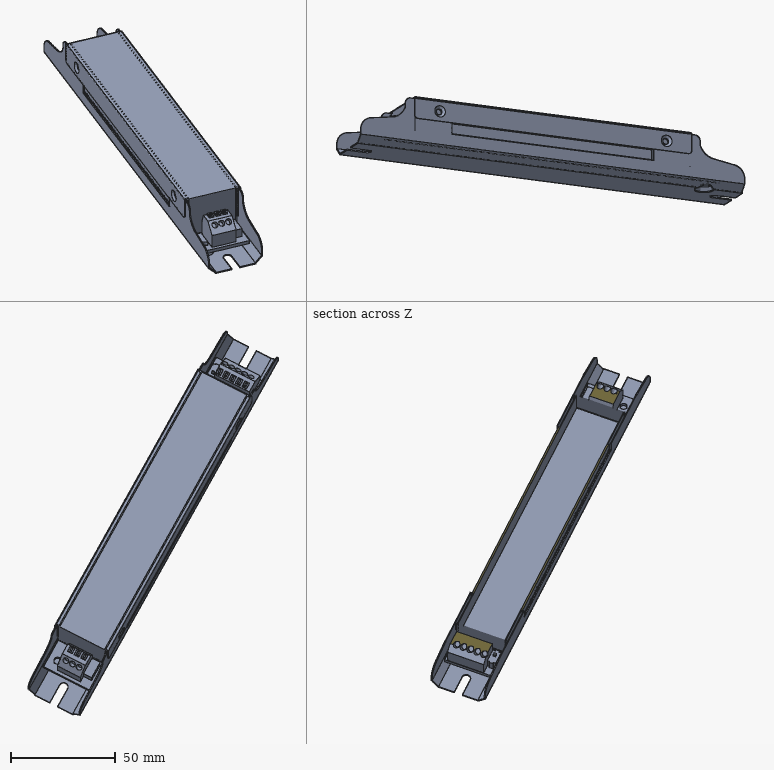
import cadquery as cq
import math

channel_half_length = 100.8
channel_half_width = 14.1
sheet = 0.6
bend_angle = math.radians(45)
bend_height = 3.65
wall_top = 25.0
floor_half_width = channel_half_width - bend_height
floor_lip = 0.4

nose_start_z = 6.3
nose_end = (94.6, 12.7)
scoop_start = (84.5, 14.3)
scoop_end = (77.4, 20.3)
shoulder_start_z = 22.2
shoulder_end_x = 74.0

slot_width = 4.2
slot_inner_x = 89.0
window_half_length = 53.0
window_bottom = 9.6

cover_half_length = 72.8
cover_half_width = 14.6
cover_sheet = cover_half_width - channel_half_width
cover_top = 26.0
cover_bottom = 15.1
cover_edge_radius = 1.0
cover_corner_radius = 1.8
end_flange_half_width = 12.7
corner_web_bottom = 9.0

dimple_x = 59.5
dimple_z = 20.0
dimple_diameter = 5.6
dimple_hole_diameter = 2.9
dimple_cone_depth = 1.0

plate_half_length = 87.8
plate_half_width = 12.8
plate_bottom = 2.9
plate_top = 4.6
liner_half_width = end_flange_half_width
liner_thickness = 0.6

panel_thickness = 0.5
panel_bottom = 10.1
panel_end_gap = 0.5
panel_x_range = (-window_half_length, window_half_length - panel_end_gap)

earth_x = 82.0
earth_y = -8.2
earth_base_radius = 5.0
earth_top_radius = 3.2
earth_hole_diameter = 3.4

pole_pitch = 3.55
terminal_front_z = 11.4
terminal_top = 16.5
terminal_slope_run = terminal_top - terminal_front_z
wire_hole_diameter = 2.9
wire_hole_depth = 3.0
wire_hole_position = 0.65
button_length = 3.0
button_width = 2.4
button_rise = 0.8
button_gap = 2.2
button_slit_length = 1.6
button_slit_width = 0.8

left_front_x = 87.6
left_back_x = 76.6
left_y_range = (-7.6, 11.2)
left_first_pole_y = -6.1
left_poles = 5

right_front_x = 86.2
right_back_x = 73.7
right_y_range = (-6.0, 6.5)
right_first_pole_y = -3.1
right_poles = 3
right_back_bevel_run = 1.9
right_back_bevel_drop = 4.5

left_plug_x_range = (-83.1, -76.3)
left_plug_y_range = (-11.9, -7.6)
left_plug_top = 9.0
plug_ear_length = 0.6
plug_ear_width = 2.0
plug_pin_width = 1.2
plug_pin_x = -79.0
plug_pin_top = 10.2
right_plug_x_range = (74.3, 83.1)
right_plug_y_range = (6.5, 10.9)
right_plug_top = 9.0


def box(x_range, y_range, z_range):
    """Axis-aligned block between the given limits."""
    return cq.Workplane("XY").box(
        x_range[1] - x_range[0], y_range[1] - y_range[0], z_range[1] - z_range[0], centered=False
    ).translate((x_range[0], y_range[0], z_range[0]))


def span(half):
    """Limits of a range that is symmetric about zero."""
    return (-half, half)


def channel_section():
    """Channel cross-section in the YZ plane, swept along X."""
    w, f, b = channel_half_width, floor_half_width, bend_height
    bend_inset = sheet * math.tan(bend_angle / 2)
    inner_f = f - bend_inset
    inner_b = b + bend_inset
    half = [
        (f, 0), (w, b), (w, wall_top), (w - sheet, wall_top), (w - sheet, inner_b), (inner_f, sheet),
    ]
    outline = half + [(-y, z) for y, z in reversed(half)]
    return (
        cq.Workplane("YZ").polyline(outline).close()
        .extrude(2 * channel_half_length).translate((-channel_half_length, 0, 0))
    )


def end_outline(side):
    """Area kept at one end of the side walls; side is +1 or -1 along X."""
    def at(point):
        return (side * point[0], point[1])

    return (
        cq.Workplane("XZ").moveTo(0, 0)
        .lineTo(*at((channel_half_length, 0)))
        .lineTo(*at((channel_half_length, nose_start_z)))
        .tangentArcPoint(at(nose_end), relative=False)
        .lineTo(*at(scoop_start))
        .tangentArcPoint(at(scoop_end), relative=False)
        .lineTo(*at((scoop_end[0], shoulder_start_z)))
        .tangentArcPoint(at((shoulder_end_x, wall_top)), relative=False)
        .lineTo(0, wall_top).close()
        .extrude(channel_half_width, both=True)
    )


def make_channel():
    channel = channel_section().intersect(end_outline(1).union(end_outline(-1)))
    lip_x = channel_half_length + floor_lip
    channel = channel.union(box((slot_inner_x, lip_x), span(floor_half_width), (0, sheet)))
    slot_length = channel_half_length - slot_inner_x
    for side in (1, -1):
        slot = (
            cq.Workplane("XY").center(side * (slot_inner_x + slot_length), 0)
            .slot2D(2 * slot_length, slot_width).extrude(sheet)
        )
        channel = channel.cut(slot)
    window = box(span(window_half_length), span(channel_half_width), (window_bottom, cover_bottom))
    return channel.cut(window)


def make_cover():
    cover = (
        box(span(cover_half_length), span(cover_half_width), (cover_bottom, cover_top))
        .faces(">Z").edges().fillet(cover_edge_radius)
        .edges("|Y and <Z").fillet(cover_corner_radius)
    )
    inner_x = cover_half_length - cover_sheet
    inner_z = cover_top - cover_sheet
    cover = cover.cut(box(span(inner_x), span(channel_half_width), (cover_bottom, inner_z)))
    end_opening = box(
        span(cover_half_length), span(channel_half_width), (cover_bottom, cover_top - cover_edge_radius)
    )
    cover = cover.cut(end_opening)
    for x_range in ((-cover_half_length, -inner_x), (inner_x, cover_half_length)):
        flange_z = (plate_top, cover_top - cover_edge_radius)
        cover = cover.union(box(x_range, span(end_flange_half_width), flange_z))
    wall_inner = channel_half_width - sheet
    for x_range in ((-inner_x, cover_sheet - inner_x), (inner_x - cover_sheet, inner_x)):
        for y_range in ((-wall_inner, -end_flange_half_width), (end_flange_half_width, wall_inner)):
            cover = cover.union(box(x_range, y_range, (corner_web_bottom, inner_z)))
    return cover


def make_tray():
    """Base plate and the two liner walls standing on it under the cover."""
    tray = box(span(plate_half_length), span(plate_half_width), (plate_bottom, plate_top))
    liner_inner = liner_half_width - liner_thickness
    for y_range in ((liner_inner, liner_half_width), (-liner_half_width, -liner_inner)):
        tray = tray.union(
            box(span(cover_half_length - cover_sheet), y_range, (plate_top, cover_top - cover_sheet))
        )
    panel_outer = liner_half_width + panel_thickness
    for y_range in ((liner_half_width, panel_outer), (-panel_outer, -liner_half_width)):
        tray = tray.union(box(panel_x_range, y_range, (panel_bottom, cover_bottom)))
    return tray


def side_cylinder(x, side, y_from, y_to, diameter):
    """Cylinder along Y at dimple height on one long side."""
    cylinder = cq.Solid.makeCylinder(
        diameter / 2, y_to - y_from, cq.Vector(x, side * y_from, dimple_z), cq.Vector(0, side, 0)
    )
    return cq.Workplane(obj=cylinder)


def add_side_dimples(body):
    for x in (-dimple_x, dimple_x):
        for side in (1, -1):
            body = body.union(side_cylinder(x, side, liner_half_width, channel_half_width, dimple_diameter))
            body = body.cut(
                side_cylinder(x, side, liner_half_width, cover_half_width, dimple_hole_diameter)
            )
            cone = cq.Solid.makeCone(
                dimple_diameter / 2, dimple_hole_diameter / 2, dimple_cone_depth,
                cq.Vector(x, side * cover_half_width, dimple_z), cq.Vector(0, -side, 0),
            )
            body = body.cut(cq.Workplane(obj=cone))
    return body


def earth_cone(z_from):
    """Cone of the earth dimple with its base at the given height."""
    cone = cq.Solid.makeCone(
        earth_base_radius, earth_top_radius, plate_bottom, cq.Vector(earth_x, earth_y, z_from)
    )
    return cq.Workplane(obj=cone)


def add_earth_dimple(body):
    """Hollow dimple rising to the plate below a round hole in the plate."""
    trough = (
        cq.Workplane("YZ")
        .polyline([
            (-floor_half_width, 0), (floor_half_width, 0),
            (channel_half_width, bend_height), (-channel_half_width, bend_height),
        ]).close()
        .extrude(channel_half_length)
    )
    body = body.union(earth_cone(0).intersect(trough))
    body = body.cut(earth_cone(-sheet))
    plate_hole = (
        cq.Workplane("XY", origin=(earth_x, earth_y, plate_bottom))
        .circle(earth_hole_diameter / 2).extrude(plate_top - plate_bottom)
    )
    return body.cut(plate_hole)


def terminal_block(side, front_x, back_x, y_range, first_pole_y, poles, bevel_run=0, bevel_drop=0):
    """Terminal block with its wire holes facing the end of the channel on the given side."""
    slope_top_x = front_x - terminal_slope_run
    profile = [
        (front_x, plate_top), (front_x, terminal_front_z), (slope_top_x, terminal_top),
        (back_x + bevel_run, terminal_top),
    ]
    if bevel_run:
        profile.append((back_x, terminal_top - bevel_drop))
    profile.append((back_x, plate_top))
    block = (
        cq.Workplane("XZ").polyline([(side * x, z) for x, z in profile]).close()
        .extrude(y_range[0] - y_range[1]).translate((0, y_range[0], 0))
    )
    hole_x = front_x - terminal_slope_run * wire_hole_position
    hole_z = terminal_front_z + terminal_slope_run * wire_hole_position
    for pole in range(poles):
        y = first_pole_y + pole * pole_pitch
        hole = cq.Solid.makeCylinder(
            wire_hole_diameter / 2, wire_hole_depth,
            cq.Vector(side * hole_x, y, hole_z), cq.Vector(-side, 0, -1),
        )
        block = block.cut(cq.Workplane(obj=hole))
        button_x = side * (slope_top_x - button_gap - button_length / 2)
        button_top = terminal_top + button_rise
        button = (
            cq.Workplane("XY").box(button_length, button_width, button_rise)
            .translate((button_x, y, terminal_top + button_rise / 2))
        )
        slit = (
            cq.Workplane("XY").box(button_slit_length, button_slit_width, button_rise)
            .translate((button_x, y, button_top))
        )
        block = block.union(button.cut(slit))
    return block


def left_plug():
    """Two-eared connector with a central pin."""
    y_mid = sum(left_plug_y_range) / 2
    z_range = (plate_top, left_plug_top)
    ear_x = (left_plug_x_range[0] - plug_ear_length, left_plug_x_range[1] + plug_ear_length)
    ear_y = (y_mid - plug_ear_width / 2, y_mid + plug_ear_width / 2)
    pin_x = (plug_pin_x - plug_pin_width / 2, plug_pin_x + plug_pin_width / 2)
    pin_y = (y_mid - plug_pin_width / 2, y_mid + plug_pin_width / 2)
    plug = box(left_plug_x_range, left_plug_y_range, z_range).union(box(ear_x, ear_y, z_range))
    return plug.union(box(pin_x, pin_y, (left_plug_top, plug_pin_top)))


result = make_channel().union(make_tray()).union(make_cover())
result = add_side_dimples(result)
result = add_earth_dimple(result)
result = result.union(
    terminal_block(-1, left_front_x, left_back_x, left_y_range, left_first_pole_y, left_poles)
)
result = result.union(
    terminal_block(
        1, right_front_x, right_back_x, right_y_range, right_first_pole_y, right_poles,
        right_back_bevel_run, right_back_bevel_drop,
    )
)
result = result.union(left_plug())
result = result.union(box(right_plug_x_range, right_plug_y_range, (plate_top, right_plug_top)))